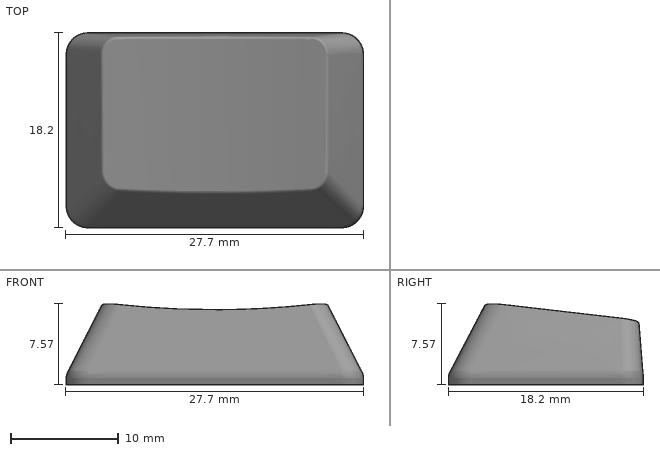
import cadquery as cq
import math

LENGTH = 27.7
WIDTH = 18.16
SKIRT_HEIGHT = 0.6
SKIRT_CORNER = 2.05

SHOULDER_TOP_Z = 1.33
SIDE_INSET = 0.22
FRONT_INSET = 0.22
BACK_INSET = 0.05

TOP_LENGTH = 20.77
TOP_FRONT_Y = -5.43
TOP_BACK_Y = 8.65
TOP_FRONT_Z = 7.9
TOP_BACK_Z = 6.25
TOP_CORNER = 1.72

DISH_RADIUS = 78.92
DISH_DEPTH = 0.9
RIM_RADIUS = 0.28

top_run = TOP_BACK_Y - TOP_FRONT_Y
top_drop = TOP_FRONT_Z - TOP_BACK_Z
top_width = math.hypot(top_run, top_drop)
top_center = (0, (TOP_FRONT_Y + TOP_BACK_Y) / 2, (TOP_FRONT_Z + TOP_BACK_Z) / 2)
top_plane = cq.Plane(origin=top_center, xDir=(1, 0, 0), normal=(0, top_drop, top_run))


def rounded_outline(plane, length, width, radius):
    """Closed wire of a rounded rectangle centred on the plane."""
    outline = cq.Workplane(plane).rect(length, width).val()
    return outline.fillet2D(radius, outline.Vertices())


def shoulder_wire(rise):
    """Outline at a fraction of the shoulder height; its inset grows as the square."""
    inset = rise**2
    height = SKIRT_HEIGHT + rise * (SHOULDER_TOP_Z - SKIRT_HEIGHT)
    plane = cq.Plane(origin=(0, inset * (FRONT_INSET - BACK_INSET) / 2, height))
    length = LENGTH - 2 * inset * SIDE_INSET
    width = WIDTH - inset * (FRONT_INSET + BACK_INSET)
    return rounded_outline(plane, length, width, SKIRT_CORNER - inset * SIDE_INSET)


def make_skirt():
    outline = rounded_outline(cq.Plane.XY(), LENGTH, WIDTH, SKIRT_CORNER)
    return cq.Workplane(outline).toPending().extrude(SKIRT_HEIGHT)


def make_shoulder():
    sections = [shoulder_wire(rise) for rise in (0, 0.5, 1)]
    return cq.Workplane(cq.Solid.makeLoft(sections))


def make_tapered_body():
    """Loft from the level shoulder to the tilted top."""
    top_wire = rounded_outline(top_plane, TOP_LENGTH, top_width, TOP_CORNER)
    return cq.Workplane(cq.Solid.makeLoft([shoulder_wire(1), top_wire], True))


def make_dish():
    """Cylinder whose lowest line runs front to back, parallel to the tilted top."""
    axis_plane = cq.Plane(origin=top_center, xDir=(1, 0, 0), normal=top_plane.yDir.toTuple())
    return (
        cq.Workplane(axis_plane)
        .center(0, -(DISH_RADIUS - DISH_DEPTH))
        .circle(DISH_RADIUS)
        .extrude(WIDTH, both=True)
    )


body = make_skirt().union(make_shoulder()).union(make_tapered_body()).cut(make_dish())
dish_face = body.faces(cq.selectors.NearestToPointSelector(top_center))
result = dish_face.edges().fillet(RIM_RADIUS)